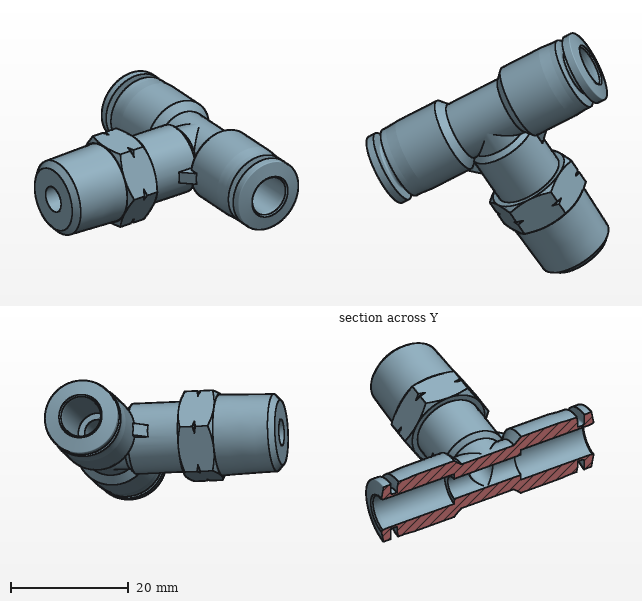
import cadquery as cq
import math


half_length = 20.5
waist_radius = 5.1
body_radius = 6.48
body_start = 6.45
body_shoulder = body_radius - waist_radius
collar_radius = 6.3
body_end = 14.15
collar_start = 16.1
collar_rim = 17.2
collar_face = 17.45
collar_face_radius = 5.0

neck_radius = 3.98
ring_inner_face = 18.6
ring_radius = collar_radius
ring_rim_start = 19.9
ring_rim_end = 20.1
ring_rim_radius = 6.2
neck_fillet = 0.35

flow_radius = 2.25
tube_radius = 3.35
tube_entry_radius = 3.45
mouth_radius = 3.75
mouth_depth = mouth_radius - tube_entry_radius
tube_entry_depth = 1.02

branch_radius = 6.0
branch_cone_end = 5.05
branch_cone_start = branch_cone_end - (branch_radius - waist_radius)
thread_start = 20.05
thread_end = 30.5
thread_chamfer_length = 1.02
thread_root_radius = 6.9
thread_tip_radius = 6.6
thread_face_radius = 5.55

hex_start = 13.95
across_flats = 14.0
hex_chamfer_angle = 30.0
groove_bottom_radius = 7.55
groove_half_width = 0.3

gusset_thickness = 2.05
gusset_reach = 14.5

AXIS_START = (0, 0, 0)
X_AXIS = (1, 0, 0)
Y_AXIS = (0, 1, 0)


def revolve_about_x(profile):
    return profile.close().revolve(360, AXIS_START, X_AXIS)


def revolve_about_y(points):
    """Revolve a closed outline of (radius, distance toward -Y) points about Y."""
    outline = [(radius, -distance) for radius, distance in points]
    return cq.Workplane("XY").polyline(outline).close().revolve(360, AXIS_START, Y_AXIS)


def make_port():
    """Outside of the +X half of the run, from the waist to the release ring."""
    arc_drop = neck_fillet * math.sqrt(0.5)
    fillet_centre = (ring_inner_face - neck_fillet, neck_radius + neck_fillet)
    rim_middle = (
        ring_rim_start + (ring_rim_end - ring_rim_start) * math.sin(math.pi / 4),
        ring_rim_radius + (ring_radius - ring_rim_radius) * math.cos(math.pi / 4),
    )
    profile = (
        cq.Workplane("XY")
        .moveTo(0, 0)
        .lineTo(0, waist_radius)
        .lineTo(body_start - body_shoulder, waist_radius)
        .lineTo(body_start, body_radius)
        .lineTo(body_end, body_radius)
        .lineTo(collar_start, collar_radius)
        .lineTo(collar_rim, collar_radius)
        .lineTo(collar_face, collar_face_radius)
        .lineTo(collar_face, neck_radius)
        .lineTo(fillet_centre[0], neck_radius)
        .threePointArc(
            (fillet_centre[0] + arc_drop, fillet_centre[1] - arc_drop),
            (ring_inner_face, fillet_centre[1]),
        )
        .lineTo(ring_inner_face, ring_radius)
        .lineTo(ring_rim_start, ring_radius)
        .threePointArc(rim_middle, (ring_rim_end, ring_rim_radius))
        .lineTo(half_length, mouth_radius)
        .lineTo(half_length, 0)
    )
    return revolve_about_x(profile)


def make_port_bore():
    """Tube socket of the +X port, with a flared mouth, and the flow bore behind it."""
    profile = (
        cq.Workplane("XY")
        .moveTo(0, 0)
        .lineTo(0, flow_radius)
        .lineTo(body_start, flow_radius)
        .lineTo(body_start, tube_radius)
        .lineTo(half_length - tube_entry_depth, tube_radius)
        .lineTo(half_length - mouth_depth, tube_entry_radius)
        .lineTo(half_length, mouth_radius)
        .lineTo(half_length, 0)
    )
    return revolve_about_x(profile)


def make_branch():
    """Round stem and tapered thread body of the branch."""
    return revolve_about_y([
        (0, 0),
        (waist_radius, 0),
        (waist_radius, branch_cone_start),
        (branch_radius, branch_cone_end),
        (branch_radius, thread_start),
        (thread_root_radius, thread_start),
        (thread_tip_radius, thread_end - thread_chamfer_length),
        (thread_face_radius, thread_end),
        (0, thread_end),
    ])


def make_hexagon():
    """Hexagon with flats on +Z and -Z, chamfered ends and a V groove round its corners."""
    flat_radius = across_flats / 2
    corner_radius = flat_radius / math.cos(math.pi / 6)
    chamfer_length = (corner_radius - flat_radius) * math.tan(math.radians(hex_chamfer_angle))
    groove_middle = (hex_start + thread_start) / 2
    prism = (
        cq.Workplane("XZ", origin=(0, -hex_start, 0))
        .polygon(6, 2 * corner_radius)
        .extrude(thread_start - hex_start)
    )
    turned_envelope = revolve_about_y([
        (0, hex_start),
        (flat_radius, hex_start),
        (corner_radius, hex_start + chamfer_length),
        (corner_radius, groove_middle - groove_half_width),
        (groove_bottom_radius, groove_middle),
        (corner_radius, groove_middle + groove_half_width),
        (corner_radius, thread_start - chamfer_length),
        (flat_radius, thread_start),
        (0, thread_start),
    ])
    return prism.intersect(turned_envelope)


def make_gussets():
    """Flat triangular plate whose two outer corners brace the branch against the run."""
    return (
        cq.Workplane("XY")
        .polyline([(-gusset_reach, 0), (gusset_reach, 0), (0, -gusset_reach)])
        .close()
        .extrude(gusset_thickness / 2, both=True)
    )


port = make_port()
port_bore = make_port_bore()
branch_bore = cq.Workplane("XZ").circle(flow_radius).extrude(thread_end)

result = (
    port.union(port.mirror("YZ"))
    .union(make_branch())
    .union(make_hexagon())
    .union(make_gussets())
    .cut(port_bore)
    .cut(port_bore.mirror("YZ"))
    .cut(branch_bore)
)